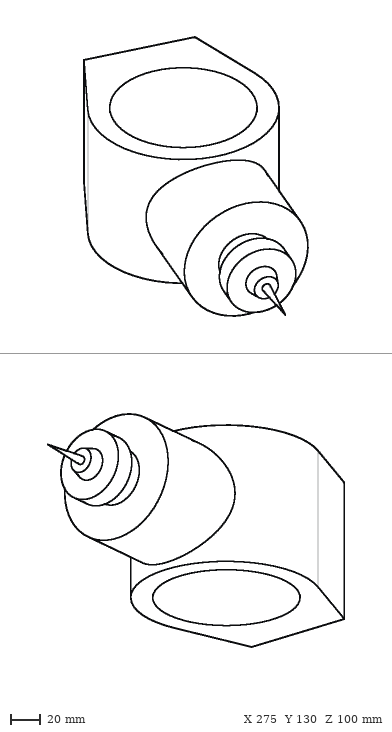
import cadquery as cq
import math

height = 100.0
collar_diameter = 130.0
bore_diameter = 100.0
face_distance = 80.0
face_half_back = 38.8
face_half_front = 41.8
collar_radius = collar_diameter / 2

overall_length = 275.0
barrel_diameter = 90.0
barrel_end = 120.0
neck_diameter = 40.0
neck_end = 134.5
nut_diameter = 50.0
nut_end = 149.0
nose_base_diameter = 22.5
nose_end_diameter = 17.3
nose_end = 158.5
needle_diameter = 6.0
needle_tip = overall_length - face_distance


def tangent_point(corner_y, side):
    """Point where the line from a face corner touches the collar circle (side +1: +Y, -1: -Y)."""
    corner_distance = math.hypot(face_distance, corner_y)
    corner_angle = math.atan2(corner_y, -face_distance)
    angle = corner_angle - side * math.acos(collar_radius / corner_distance)
    return collar_radius * math.cos(angle), collar_radius * math.sin(angle)


def make_collar():
    outline = (
        cq.Workplane("XY")
        .moveTo(-face_distance, face_half_back)
        .lineTo(*tangent_point(face_half_back, 1))
        .threePointArc((collar_radius, 0), tangent_point(-face_half_front, -1))
        .lineTo(-face_distance, -face_half_front)
        .close()
    )
    body = outline.extrude(height / 2, both=True)
    bore = cq.Workplane("XY").circle(bore_diameter / 2).extrude(height / 2, both=True)
    return body.cut(bore)


def make_spindle():
    half_profile = (
        cq.Workplane("XZ")
        .lineTo(0, barrel_diameter / 2)
        .lineTo(barrel_end, barrel_diameter / 2)
        .lineTo(barrel_end, neck_diameter / 2)
        .lineTo(neck_end, neck_diameter / 2)
        .lineTo(neck_end, nut_diameter / 2)
        .lineTo(nut_end, nut_diameter / 2)
        .lineTo(nut_end, nose_base_diameter / 2)
        .lineTo(nose_end, nose_end_diameter / 2)
        .lineTo(nose_end, needle_diameter / 2)
        .lineTo(needle_tip, 0)
        .close()
    )
    body = half_profile.revolve(360, (0, 0), (1, 0))
    collar_seat = cq.Workplane("XY").circle(collar_radius).extrude(height / 2, both=True)
    return body.cut(collar_seat)


collar = make_collar()
spindle = make_spindle()

result = cq.Compound.makeCompound([collar.solids().val(), spindle.solids().val()])